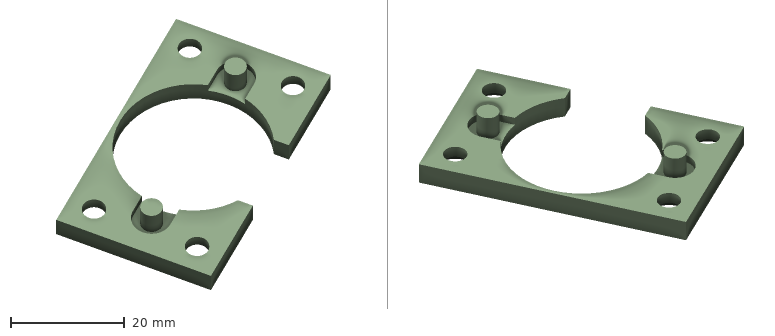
import cadquery as cq

plate_width = 30.0
plate_length = 50.0
plate_thickness = 4.0

opening_diameter = 28.5
gap_width = 15.0

hole_diameter = 4.3
hole_edge_distance = 5.0
countersink_diameter = 8.0
countersink_depth = (countersink_diameter - hole_diameter) / 2

pin_diameter = 4.0
pin_top = 7.0
pin_offset = 17.5
pocket_width = 7.25
pocket_depth = 1.5
pocket_floor = plate_thickness - pocket_depth


def make_plate():
    """Plate resting on Z = 0, centred on the Z axis."""
    return cq.Workplane("XY").box(
        plate_width, plate_length, plate_thickness, centered=(True, True, False)
    )


def make_opening():
    """Through cutter: round opening joined to the side gap."""
    bore = cq.Workplane("XY").circle(opening_diameter / 2).extrude(plate_thickness)
    gap = cq.Workplane("XY").box(
        plate_width / 2, gap_width, plate_thickness, centered=(False, True, False)
    )
    return bore.union(gap)


def make_corner_holes():
    """Through cutters for the corner holes, countersunk from the underside."""
    hole = cq.Workplane("XY").circle(hole_diameter / 2).extrude(plate_thickness)
    cone = (
        cq.Workplane("XY")
        .circle(countersink_diameter / 2)
        .workplane(offset=countersink_depth)
        .circle(hole_diameter / 2)
        .loft(ruled=True)
    )
    cutter = hole.union(cone).val()
    return (
        cq.Workplane("XY")
        .rect(
            plate_width - 2 * hole_edge_distance,
            plate_length - 2 * hole_edge_distance,
            forConstruction=True,
        )
        .vertices()
        .eachpoint(lambda place: cutter.moved(place))
    )


def make_pocket(side):
    """Pocket cutter, round around the pin and running straight into the opening."""
    floor = cq.Workplane("XY").workplane(offset=pocket_floor)
    round_end = floor.center(0, side * pin_offset).circle(pocket_width / 2).extrude(pocket_depth)
    channel = (
        floor.center(0, side * pin_offset / 2)
        .rect(pocket_width, pin_offset)
        .extrude(pocket_depth)
    )
    return round_end.union(channel)


def make_pin(side):
    """Pin rising from the underside of the plate through the pocket floor."""
    return cq.Workplane("XY").center(0, side * pin_offset).circle(pin_diameter / 2).extrude(pin_top)


result = make_plate().cut(make_opening()).cut(make_corner_holes())
for side in (-1, 1):
    result = result.cut(make_pocket(side)).union(make_pin(side))